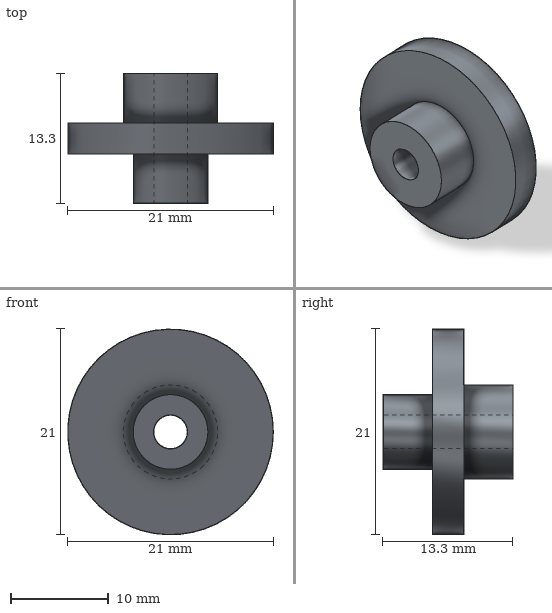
import cadquery as cq

flange_diameter = 21.0
flange_thickness = 3.2
front_hub_diameter = 7.62
front_hub_length = 5.05
rear_hub_diameter = 9.62
rear_hub_length = 5.05
bore_diameter = 3.42

flange_front = -flange_thickness / 2
flange_rear = flange_thickness / 2
front_end = flange_front - front_hub_length
total_length = front_hub_length + flange_thickness + rear_hub_length


def cylinder_along_y(diameter, start, length):
    """Solid cylinder on the Y axis, running from start towards +Y."""
    base = cq.Workplane("XZ", origin=(0, start, 0))
    return base.circle(diameter / 2).extrude(-length)


flange = cylinder_along_y(flange_diameter, flange_front, flange_thickness)
front_hub = cylinder_along_y(front_hub_diameter, front_end, front_hub_length)
rear_hub = cylinder_along_y(rear_hub_diameter, flange_rear, rear_hub_length)
bore = cylinder_along_y(bore_diameter, front_end, total_length)

result = flange.union(front_hub).union(rear_hub).cut(bore)